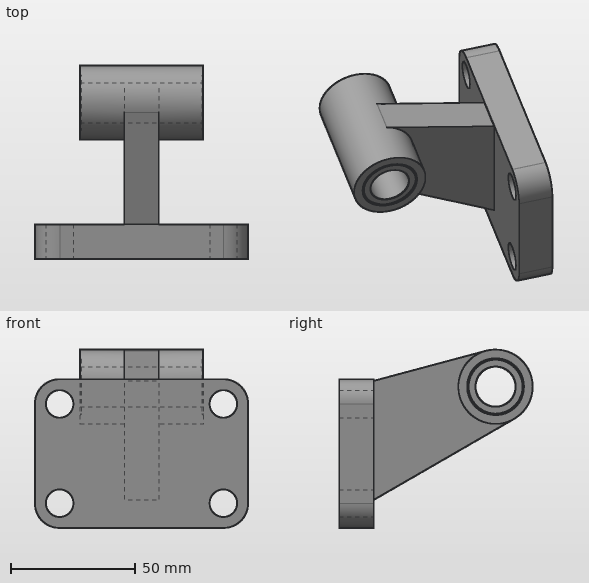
import cadquery as cq
import math

plate_width = 86.0
plate_height = 60.0
plate_thickness = 14.0
corner_radius = 10.0
mount_hole_diameter = 11.0
mount_hole_spacing_x = 66.0
mount_hole_spacing_z = 40.0

total_depth = 78.0
total_height = 72.0
barrel_diameter = 30.0
barrel_length = 49.6
bore_diameter = 16.0
bore_chamfer = 0.2
bushing_diameter = 22.0
groove_outer_diameter = 23.0
groove_inner_diameter = 21.7

barrel_radius = barrel_diameter / 2
left_end_x = -barrel_length / 2
axis_y = total_depth - barrel_radius
axis_z = total_height - barrel_radius

web_thickness = 14.0
top_slope = math.radians(15)
bottom_slope = math.radians(30)


def make_plate():
    """Rounded plate with one mounting hole near each corner."""
    plate = (
        cq.Workplane("XY")
        .box(plate_width, plate_thickness, plate_height, centered=(True, False, False))
        .edges("|Y")
        .fillet(corner_radius)
    )
    return (
        plate.faces("<Y")
        .workplane(centerOption="CenterOfBoundBox")
        .rarray(mount_hole_spacing_x, mount_hole_spacing_z, 2, 2)
        .hole(mount_hole_diameter)
    )


def axis_cylinder(diameter):
    """Cylinder on the barrel axis, as long as the barrel."""
    return (
        cq.Workplane("YZ", origin=(left_end_x, axis_y, axis_z))
        .circle(diameter / 2)
        .extrude(barrel_length)
    )


def make_web():
    """Tapered web from the plate to the barrel axis."""
    top_y = axis_y - barrel_radius * math.sin(top_slope)
    top_z = axis_z + barrel_radius * math.cos(top_slope)
    bottom_y = axis_y + barrel_radius * math.sin(bottom_slope)
    bottom_z = axis_z - barrel_radius * math.cos(bottom_slope)
    bottom_rise = math.tan(bottom_slope)
    top_rise = math.tan(top_slope)
    outline = [
        (plate_thickness, top_z - (top_y - plate_thickness) * top_rise),
        (top_y, top_z),
        (axis_y, axis_z),
        (bottom_y, bottom_z),
        (plate_thickness, bottom_z - (bottom_y - plate_thickness) * bottom_rise),
    ]
    return cq.Workplane("YZ").polyline(outline).close().extrude(web_thickness / 2, both=True)


def revolve_about_axis(profile):
    """Ring swept by a profile of (x, radius) points turned about the barrel axis."""
    return (
        cq.Workplane("XY", origin=(0, axis_y, axis_z))
        .polyline(profile)
        .close()
        .revolve(360, (0, 0), (1, 0))
    )


def make_groove():
    """V-groove on the left barrel end, where the bushing meets the barrel."""
    groove_depth = (groove_outer_diameter - bushing_diameter) / 2
    return revolve_about_axis(
        [
            (left_end_x, groove_inner_diameter / 2),
            (left_end_x + groove_depth, bushing_diameter / 2),
            (left_end_x, groove_outer_diameter / 2),
        ]
    )


def make_bore_chamfer():
    """Small chamfer at the left mouth of the bore."""
    bore_radius = bore_diameter / 2
    return revolve_about_axis(
        [
            (left_end_x, 0),
            (left_end_x, bore_radius + bore_chamfer),
            (left_end_x + bore_chamfer, bore_radius),
            (left_end_x + bore_chamfer, 0),
        ]
    )


result = (
    make_plate()
    .union(make_web())
    .union(axis_cylinder(barrel_diameter))
    .cut(axis_cylinder(bore_diameter))
)

for end_cut in (make_groove(), make_bore_chamfer()):
    result = result.cut(end_cut).cut(end_cut.mirror("YZ"))